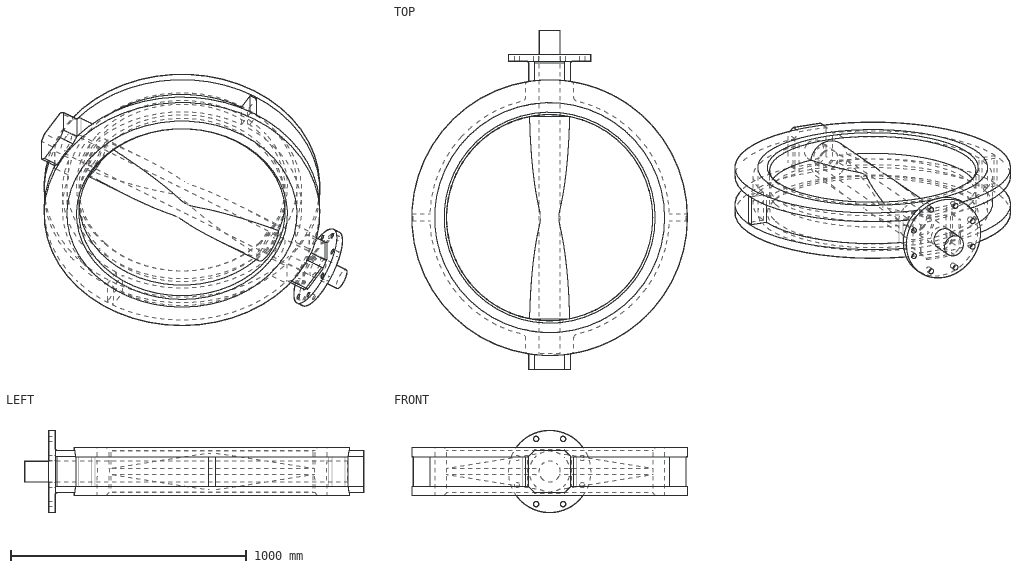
import cadquery as cq
import math


rim_diameter = 1170.0
body_height = 205.0
groove_height = 125.0
rim_thickness = (body_height - groove_height) / 2
barrel_radius = 508.0

rib_width = 30.0
rib_reach = 578.0

boss_width = 178.0
boss_flat_width = 128.0
boss_chamfer = (boss_width - boss_flat_width) / 2
lower_boss_reach = 645.0
neck_flare_length = 7.0
neck_flare_width = 5.0
shoulder_half_width = 102.0
shoulder_reach = 577.0
shoulder_corner_radius = 12.0
shoulder_root_radius = 16.0

flange_diameter = 350.0
flange_thickness = 29.0
flange_front = 692.0
flange_back = flange_front - flange_thickness
bolt_count = 8
bolt_circle_radius = 150.0
bolt_hole_diameter = 22.0

liner_radius = 488.0
bore_radius = 437.0
bore_chamfer_width = 10.0
bore_chamfer_depth = 13.0

disc_edge_height = 13.0
disc_apex_height = 83.0
hub_radius = 86.0
hub_half_length = math.sqrt(bore_radius**2 - hub_radius**2)

shaft_radius = 45.0
shaft_top = 795.0
shaft_bottom = -575.0


def cylinder_along_z(radius, bottom, top):
    """Cylinder about Z between two heights."""
    return cq.Workplane("XY").workplane(offset=bottom).circle(radius).extrude(top - bottom)


def cylinder_along_y(radius, start, end):
    """Cylinder about Y between two Y positions."""
    return cq.Workplane("XZ", origin=(0, start, 0)).circle(radius).extrude(start - end)


def revolve_about_z(radius_height_points):
    """Ring or disc about Z from a closed outline of (radius, height) points."""
    return cq.Workplane("XZ").polyline(radius_height_points).close().revolve(360, (0, 0, 0), (0, 1, 0))


def make_shaft():
    return cylinder_along_y(shaft_radius, shaft_bottom, shaft_top)


def make_boss_block(reach):
    """Square bar with chamfered long edges, from the axis out to +Y."""
    bar = cq.Workplane("XY").box(boss_width, reach, boss_width, centered=(True, False, True))
    return bar.edges("|Y").chamfer(boss_chamfer)


def add_neck_flare(housing):
    """Slope the four flat sides of the neck outwards where they meet the mounting flange."""
    side = boss_width / 2
    wedge_section = [
        (side, flange_back - neck_flare_length),
        (side + neck_flare_width, flange_back),
        (side, flange_back),
    ]
    wedge = (
        cq.Workplane("XY", origin=(0, 0, -boss_flat_width / 2))
        .polyline(wedge_section)
        .close()
        .extrude(boss_flat_width)
    )
    for turn in range(0, 360, 90):
        housing = housing.union(wedge.rotate((0, 0, 0), (0, 1, 0), turn))
    return housing


def make_shoulder():
    """Wider block that fills the groove behind a boss, flared into the barrel."""
    block = (
        cq.Workplane("XY")
        .box(2 * shoulder_half_width, shoulder_reach, groove_height, centered=(True, False, True))
        .edges("|Z and >Y")
        .fillet(shoulder_corner_radius)
    )
    barrel = cylinder_along_z(barrel_radius, -groove_height / 2, groove_height / 2)
    root_y = math.sqrt(barrel_radius**2 - shoulder_half_width**2)
    margin = 1.0
    root_edges = cq.selectors.BoxSelector(
        (-shoulder_half_width - margin, root_y - margin, -groove_height),
        (shoulder_half_width + margin, root_y + margin, groove_height),
    )
    return barrel.union(block).edges("|Z").edges(root_edges).fillet(shoulder_root_radius)


def make_housing():
    half_height = body_height / 2
    housing = cylinder_along_z(barrel_radius, -half_height, half_height)
    for bottom in (-half_height, half_height - rim_thickness):
        housing = housing.union(cylinder_along_z(rim_diameter / 2, bottom, bottom + rim_thickness))
    housing = housing.union(cq.Workplane("XY").box(2 * rib_reach, rib_width, groove_height))
    for turn, reach in ((0, flange_back), (180, lower_boss_reach)):
        boss = make_boss_block(reach).union(make_shoulder())
        housing = housing.union(boss.rotate((0, 0, 0), (0, 0, 1), turn))
    housing = add_neck_flare(housing)
    return housing.cut(cylinder_along_z(liner_radius, -half_height, half_height)).cut(make_shaft())


def make_mounting_flange():
    flange = cylinder_along_y(flange_diameter / 2, flange_back, flange_front)
    half_pitch = 180 / bolt_count
    bolt_holes = (
        cq.Workplane("XZ", origin=(0, flange_back, 0))
        .polarArray(bolt_circle_radius, half_pitch, 360, bolt_count)
        .circle(bolt_hole_diameter / 2)
        .extrude(-flange_thickness)
    )
    return flange.cut(bolt_holes).cut(make_shaft())


def make_liner():
    half_height = body_height / 2
    bore = cylinder_along_z(bore_radius, -half_height, half_height)
    ring = cylinder_along_z(liner_radius, -half_height, half_height).cut(bore)
    mouth_radius = bore_radius + bore_chamfer_width
    chamfer_section = [
        (bore_radius, half_height),
        (mouth_radius, half_height),
        (bore_radius, half_height - bore_chamfer_depth),
    ]
    upper_chamfer = revolve_about_z(chamfer_section)
    lower_chamfer = upper_chamfer.mirror("XY")
    return ring.cut(upper_chamfer).cut(lower_chamfer).cut(make_shaft())


def make_disc():
    half_profile = [
        (0, -disc_apex_height),
        (bore_radius, -disc_edge_height),
        (bore_radius, disc_edge_height),
        (0, disc_apex_height),
    ]
    plate = revolve_about_z(half_profile)
    hub = cylinder_along_y(hub_radius, -hub_half_length, hub_half_length)
    return plate.union(hub).cut(make_shaft())


housing = make_housing()
mounting_flange = make_mounting_flange()
liner = make_liner()
disc = make_disc()
shaft = make_shaft()

result = cq.Compound.makeCompound(
    [housing.val(), mounting_flange.val(), liner.val(), disc.val(), shaft.val()]
)